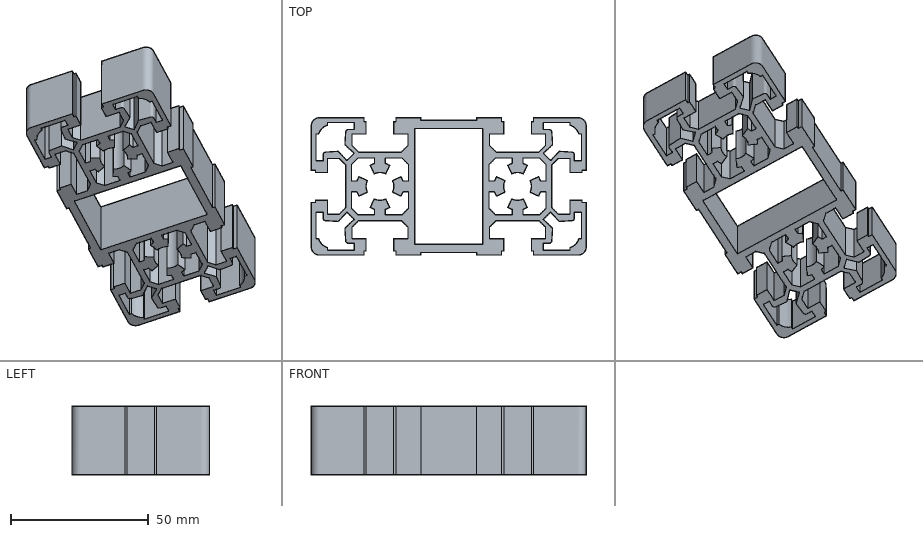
import cadquery as cq
import math

length_x = 100.0
width_y = 50.0
height = 25.0
corner_radius = 3.0
core_offset = length_x / 2 - width_y / 2

slot_mouth_half = 5.8
slot_throat_half = 5.0
slot_cavity_half = 10.1
mouth_depth = 1.5
lip_depth = 6.0
slot_depth = 12.5
slot_chamfer = 2.3

core_half = 10.3
core_chamfer = 2.3
bore_radius = 5.0
boss_outer_reach = 8.4
boss_stem_half = 2.0
boss_flank_angle = math.radians(25)

skin = 1.8
chamber_end = 15.6
shelf_depth = 4.3
wall_inset = 12.5
wall_round = 1.0
wall_foot = (12.2, 9.8)
tip = (15.6, 13.0)
corner_bore_center = 7.5
corner_bore_radius = 5.0
bore_edge = 6.0

duct_x = 24.6
duct_y = 42.0
recess_width = 20.2
recess_depth = 0.9


def mirrored(points):
    """Same points reflected across the X = 0 line, in reverse order."""
    return [(-x, y) for x, y in reversed(points)]


def swapped(point):
    """Reflection across the corner diagonal."""
    return (point[1], point[0])


def make_slot():
    """T-slot opening toward +Y with its outer face on Y = 0."""
    half = [
        (slot_mouth_half, 0),
        (slot_mouth_half, -mouth_depth),
        (slot_throat_half, -mouth_depth),
        (slot_throat_half, -lip_depth),
        (slot_cavity_half, -lip_depth),
        (slot_cavity_half, slot_chamfer - slot_depth),
        (slot_cavity_half - slot_chamfer, -slot_depth),
    ]
    return cq.Workplane("XY").polyline(half + mirrored(half)).close().extrude(height)


def make_boss():
    """Screw boss on the +Y side of a core, with radial flanks and a concave tip."""
    sin_a = math.sin(boss_flank_angle)
    cos_a = math.cos(boss_flank_angle)
    tip_corner = (bore_radius * sin_a, bore_radius * cos_a)
    shoulder_along = boss_outer_reach * cos_a + boss_stem_half * sin_a
    shoulder = (shoulder_along * sin_a, shoulder_along * cos_a)
    half = [shoulder, (boss_stem_half, boss_outer_reach), (boss_stem_half, core_half)]
    return (
        cq.Workplane("XY")
        .moveTo(*tip_corner)
        .polyline(half + mirrored(half), includeCurrent=True)
        .lineTo(-tip_corner[0], tip_corner[1])
        .threePointArc((0, bore_radius), tip_corner)
        .close()
        .extrude(height)
    )


def make_core():
    """Hollow volume of one screw core, centred on the origin."""
    core = cq.Workplane("XY").rect(2 * core_half, 2 * core_half).extrude(height)
    core = core.edges("|Z").chamfer(core_chamfer)
    boss = make_boss()
    for quarter in range(4):
        core = core.cut(boss.rotate((0, 0, 0), (0, 0, 1), 90 * quarter))
    return core


def make_corner_chamber():
    """Hollow volume of the corner at the origin, which extends toward +X and +Y."""
    bore_reach = math.sqrt(corner_bore_radius**2 - (corner_bore_center - bore_edge) ** 2)
    bore_start = (corner_bore_center - bore_reach, bore_edge)
    bore_middle = corner_bore_center - corner_bore_radius * math.sqrt(0.5)
    round_start = (wall_inset + wall_round, shelf_depth)
    round_end = (wall_inset, shelf_depth + wall_round)
    round_sag = wall_round * (1 - math.sqrt(0.5))
    round_middle = (wall_inset + round_sag, shelf_depth + round_sag)
    upper = [
        (bore_edge, skin),
        (chamber_end, skin),
        (chamber_end, shelf_depth),
        round_start,
    ]
    lower = [swapped(point) for point in reversed(upper[:3])]
    groove = [wall_foot, tip, swapped(tip), swapped(wall_foot), swapped(round_end)]
    return (
        cq.Workplane("XY")
        .moveTo(*bore_start)
        .threePointArc((bore_middle, bore_middle), swapped(bore_start))
        .polyline(upper, includeCurrent=True)
        .threePointArc(round_middle, round_end)
        .polyline(groove, includeCurrent=True)
        .threePointArc(swapped(round_middle), swapped(round_start))
        .polyline(lower, includeCurrent=True)
        .close()
        .extrude(height)
    )


body = cq.Workplane("XY").rect(length_x, width_y).extrude(height)
body = body.edges("|Z").fillet(corner_radius)

body = body.cut(cq.Workplane("XY").rect(duct_x, duct_y).extrude(height))

for side in (-1, 1):
    recess = cq.Workplane("XY").center(0, side * width_y / 2).rect(recess_width, 2 * recess_depth)
    body = body.cut(recess.extrude(height))

slot = make_slot()
core = make_core()
long_face_slot = slot.translate((0, width_y / 2, 0))
for side in (-1, 1):
    x = side * core_offset
    body = body.cut(core.translate((x, 0, 0)))
    body = body.cut(long_face_slot.translate((x, 0, 0)))
    body = body.cut(long_face_slot.mirror("XZ").translate((x, 0, 0)))

end_slot = slot.rotate((0, 0, 0), (0, 0, 1), 90).translate((-length_x / 2, 0, 0))
body = body.cut(end_slot).cut(end_slot.mirror("YZ"))

chamber = make_corner_chamber().translate((-length_x / 2, -width_y / 2, 0))
for end_chamber in (chamber, chamber.mirror("YZ")):
    body = body.cut(end_chamber).cut(end_chamber.mirror("XZ"))

result = body